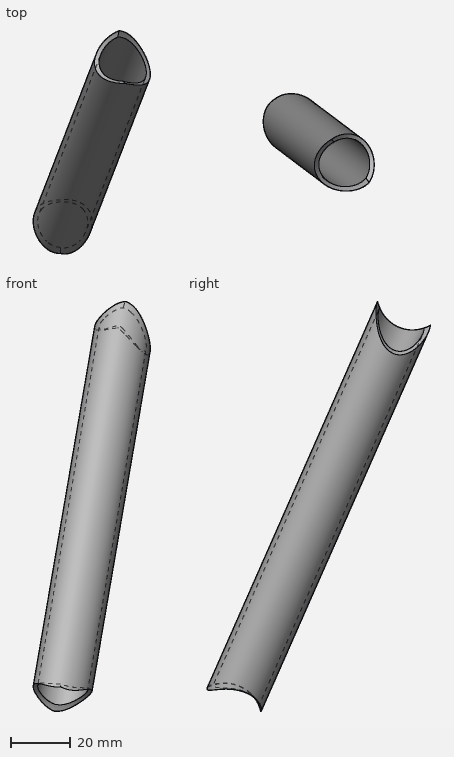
import cadquery as cq

tube_diameter = 20.0
wall = 1.5
tube_middle = cq.Vector(0.8, 0.3, 0)
tube_direction = cq.Vector(17.1, 44.1, 100).normalized()
blank_length = 194.7

top_member_radius = 12.7
top_bend = cq.Vector(13.2, 32.3, 72.9)
top_left_arm = cq.Vector(-1, -0.01, -0.04).normalized()
top_right_arm = cq.Vector(1, -0.11, -0.88).normalized()

bottom_member_radius = 12.0
bottom_bend = cq.Vector(-11.8, -31.5, -71.5)
bottom_left_arm = cq.Vector(-1, 0, -0.07).normalized()
bottom_right_arm = cq.Vector(1, 0.18, -0.24).normalized()

arm_length = 55.6


def centered_cylinder(radius, length, center, direction):
    """Cylinder whose mid-length point lies at center."""
    start = center - direction * (length / 2)
    return cq.Workplane(cq.Solid.makeCylinder(radius, length, start, direction))


def tube_blank():
    """Straight hollow tube, longer than the finished part at both ends."""
    outer_radius = tube_diameter / 2
    outer = centered_cylinder(outer_radius, blank_length, tube_middle, tube_direction)
    bore = centered_cylinder(outer_radius - wall, blank_length, tube_middle, tube_direction)
    return outer.cut(bore)


def mitered_arm(radius, bend, direction, other_direction):
    """One arm of a bent member, trimmed by the plane that bisects the bend."""
    miter_plane = cq.Plane(origin=bend, normal=direction - other_direction)
    arm_side = (
        cq.Workplane(miter_plane)
        .rect(2 * arm_length, 2 * arm_length)
        .extrude(2 * arm_length)
    )
    return centered_cylinder(radius, 2 * arm_length, bend, direction).intersect(arm_side)


def cope(tube, radius, bend, left_arm, right_arm):
    """Cut the shape of a bent member out of the tube."""
    return (
        tube
        .cut(mitered_arm(radius, bend, left_arm, right_arm))
        .cut(mitered_arm(radius, bend, right_arm, left_arm))
    )


coped_tube = cope(tube_blank(), top_member_radius, top_bend, top_left_arm, top_right_arm)
coped_tube = cope(
    coped_tube, bottom_member_radius, bottom_bend, bottom_left_arm, bottom_right_arm
)

pieces = coped_tube.solids().vals()
result = cq.Workplane(max(pieces, key=lambda piece: piece.Volume()))